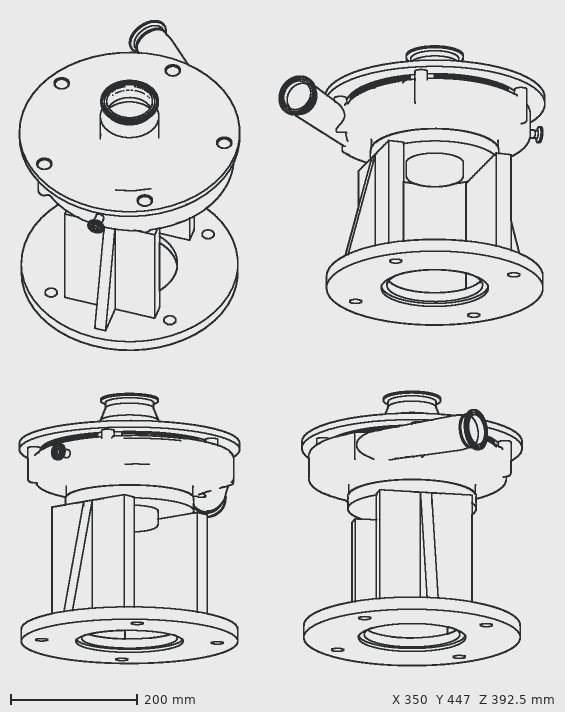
import cadquery as cq
import math


total_height = 392.5
base_thickness = 20.0
ring_bottom = 211.5
ring_top = 232.5
casing_bottom = 255.4
casing_top = 301.5
top_plate_top = 321.5
top_plate_thickness = 10.6
top_plate_bottom = top_plate_top - top_plate_thickness
port_height = 279.5

base_radius = 172.0
base_bore_radius = 76.0
base_recess_radius = 85.0
base_recess_depth = 5.0
base_hole_diameter = 19.0
base_hole_circle_radius = 140.0
base_hole_count = 4
base_hole_first_angle = 45.0

leg_width = 150.0
leg_thickness = 25.0
leg_outer_y = 102.5
gusset_thickness = 18.0
gusset_foot_y = 152.5

ring_radius = 102.0
neck_radius = 100.5
neck_flare = 5.0
hub_radius = 45.5
hub_bottom = 186.0
hub_fillet = 5.0

casing_radius = 157.5
casing_offset_x = 7.5
casing_offset_y = 3.5
casing_fillet = 5.5
scroll_end_angle = 45.0
scroll_middle_angle = 300.0
scroll_start_angle = 190.0
tongue_angle = 70.0
tongue_radius = 141.5

top_plate_radius = 175.0
spacer_radius = 141.0
groove_radius = 137.0
groove_bottom = 305.0
groove_top = 308.5
lobe_width = 39.0
column_count = 5
column_first_angle = 9.0
column_circle_radius = 152.0
column_radius = 10.0
column_corner_fillet = 3.0
edge_tolerance = 0.01
bolt_recess_radius = 12.0
bolt_recess_floor_radius = 10.6
bolt_recess_depth = 2.0

dish_rim_radius = 131.5
dish_lip_round = 4.0
dish_floor_round = 15.0
dish_floor_radius = 91.5
dish_wall_angle = math.radians(45.0)

suction_radius = 46.5
suction_foot_round = 19.0
suction_cone_bottom = 357.4
suction_cone_top = 378.3
suction_neck_radius = 38.2
suction_flange_radius = 45.6
suction_groove_radius = 41.7
suction_bore_radius = 36.3
suction_wall = 2.5
suction_bore_cone_top = 363.0
suction_bore_cone_bottom = 345.0

clamp_lip = 2.8
clamp_taper = 2.6
clamp_groove_half_width = 1.6
clamp_groove_depth = 1.5

discharge_angle = 135.0
discharge_axis_distance = 139.7
discharge_end = 210.5
discharge_flange_radius = 32.0
discharge_neck_radius = 26.3
discharge_neck_length = 19.0
discharge_swell_length = 15.0
discharge_swell_radius = 28.0
discharge_root_radius = 24.0
discharge_groove_radius = 28.8
discharge_bore_radius = 23.9
discharge_bore_depth = 12.3
discharge_bead_start = 13.0
discharge_bead_width = 2.4
discharge_bead_height = 0.7

drain_end = 176.7
drain_root = 140.0
drain_tube_radius = 6.5
drain_flange_radius = 12.7
drain_bore_radius = 5.3
drain_bore_depth = 10.0
drain_groove_radius = 9.6
drain_groove_half_width = 1.0


def cylinder(radius, bottom, top, x=0.0, y=0.0):
    """Upright cylinder between two heights."""
    return cq.Workplane("XY", origin=(x, y, bottom)).circle(radius).extrude(top - bottom)


def tube_ring(outer, inner, bottom, top):
    """Upright ring between two heights."""
    return cq.Workplane("XY", origin=(0, 0, bottom)).circle(outer).circle(inner).extrude(top - bottom)


def revolve_about_z(profile):
    """Turn a closed radius-height profile, drawn on XZ, about the Z axis."""
    return profile.close().revolve(360, (0, 0, 0), (0, 1, 0))


def polar(radius, degrees):
    """X and Y of a point given by radius and angle."""
    angle = math.radians(degrees)
    return radius * math.cos(angle), radius * math.sin(angle)


def column_angles():
    return [column_first_angle + index * 360.0 / column_count for index in range(column_count)]


def clamp_groove(mean_radius, half_width, face):
    """Gasket groove in a clamp flange whose face is at the given height."""
    return tube_ring(mean_radius + half_width, mean_radius - half_width, face - clamp_groove_depth, face)


def make_base():
    """Base plate with a central bore, a wider recess under it and mounting holes."""
    plate = tube_ring(base_radius, base_bore_radius, 0, base_thickness)
    plate = plate.cut(cylinder(base_recess_radius, 0, base_recess_depth))
    holes = (
        cq.Workplane("XY")
        .polarArray(base_hole_circle_radius, base_hole_first_angle, 360, base_hole_count)
        .circle(base_hole_diameter / 2)
        .extrude(base_thickness)
    )
    return plate.cut(holes)


def make_leg():
    """Leg on the +Y side with its outer gusset."""
    leg = (
        cq.Workplane("XY", origin=(0, leg_outer_y - leg_thickness / 2, base_thickness))
        .rect(leg_width, leg_thickness)
        .extrude(ring_bottom - base_thickness)
    )
    gusset = (
        cq.Workplane("YZ")
        .moveTo(leg_outer_y, base_thickness)
        .lineTo(gusset_foot_y, base_thickness)
        .lineTo(leg_outer_y, ring_bottom)
        .close()
        .extrude(gusset_thickness / 2, both=True)
    )
    return leg.union(gusset)


def make_bearing_housing():
    """Support ring with the hub under it and the flared neck above it."""
    hub = cylinder(hub_radius, hub_bottom, ring_top).faces("<Z").edges().fillet(hub_fillet)
    ring = cylinder(ring_radius, ring_bottom, ring_top)
    flare_arc = neck_flare * (1 - math.sqrt(0.5))
    neck = revolve_about_z(
        cq.Workplane("XZ")
        .moveTo(0, ring_top)
        .lineTo(neck_radius, ring_top)
        .lineTo(neck_radius, casing_bottom - neck_flare)
        .threePointArc(
            (neck_radius + flare_arc, casing_bottom - flare_arc),
            (neck_radius + neck_flare, casing_bottom),
        )
        .lineTo(0, casing_bottom)
    )
    return ring.union(hub).union(neck)


def casing_point(angle):
    """Point on the main casing arc, at an angle about that arc's own centre."""
    x, y = polar(casing_radius, angle)
    return casing_offset_x + x, casing_offset_y + y


def column_centers():
    return [polar(column_circle_radius, angle) for angle in column_angles()]


def casing_column(angle):
    """Bolt column over the casing height; its seam faces the axis, inside the casing."""
    column = cylinder(column_radius, casing_bottom, casing_top, -column_circle_radius, 0)
    return column.rotate((0, 0, 0), (0, 0, 1), angle - 180)


def is_column_corner(edge):
    """True for an upright edge where a column side runs into the casing wall."""
    middle = edge.Center()
    distances = [math.hypot(middle.x - x, middle.y - y) for x, y in column_centers()]
    inner_seam_radius = column_circle_radius - column_radius
    on_seam = math.hypot(middle.x, middle.y) < inner_seam_radius + edge_tolerance
    return min(distances) < column_radius + edge_tolerance and not on_seam


def make_casing():
    """Scroll-shaped drum and the bolt columns on its wall, with rounded edges."""
    casing = (
        cq.Workplane("XY", origin=(0, 0, casing_bottom))
        .moveTo(*casing_point(scroll_end_angle))
        .threePointArc(casing_point(scroll_middle_angle), casing_point(scroll_start_angle))
        .tangentArcPoint(polar(tongue_radius, tongue_angle), relative=False)
        .close()
        .extrude(casing_top - casing_bottom)
    )
    for angle in column_angles():
        casing = casing.union(casing_column(angle))
    corners = [edge for edge in casing.edges("|Z").vals() if is_column_corner(edge)]
    casing = casing.newObject(corners).fillet(column_corner_fillet)
    return casing.faces("<Z or >Z").edges().fillet(casing_fillet)


def make_lobe(angle):
    """Block that fills the spacer groove beside a bolt column."""
    block = (
        cq.Workplane("XY", origin=(0, 0, groove_bottom))
        .center(column_circle_radius / 2, 0)
        .rect(column_circle_radius, lobe_width)
        .extrude(groove_top - groove_bottom)
        .rotate((0, 0, 0), (0, 0, 1), angle)
    )
    return block.intersect(cylinder(spacer_radius, groove_bottom, groove_top))


def make_top_plate():
    """Top plate, grooved spacer and the upper ends of the bolt columns."""
    spacer = cylinder(spacer_radius, casing_top, top_plate_bottom)
    groove = tube_ring(spacer_radius, groove_radius, groove_bottom, groove_top)
    for angle in column_angles():
        groove = groove.cut(make_lobe(angle))
    plate = cylinder(top_plate_radius, top_plate_bottom, top_plate_top).union(spacer.cut(groove))
    for x, y in column_centers():
        plate = plate.union(cylinder(column_radius, port_height, top_plate_bottom, x, y))
    return plate


def make_bolt_recess(angle):
    """Shallow recess in the top plate that narrows towards its floor."""
    x, y = polar(column_circle_radius, angle)
    return (
        cq.Workplane("XY", origin=(x, y, top_plate_top))
        .circle(bolt_recess_radius)
        .workplane(offset=-bolt_recess_depth)
        .circle(bolt_recess_floor_radius)
        .loft()
    )


round_run = math.sin(dish_wall_angle)
round_rise = 1 - math.cos(dish_wall_angle)
wall_top_radius = dish_rim_radius - dish_lip_round * round_run
wall_bottom_radius = dish_floor_radius + dish_floor_round * round_run
wall_top = top_plate_top - dish_lip_round * round_rise
wall_bottom = wall_top - (wall_top_radius - wall_bottom_radius) * math.tan(dish_wall_angle)
dish_floor = wall_bottom - dish_floor_round * round_rise
suction_foot_top = dish_floor + suction_foot_round


def make_dish():
    """Space removed around the suction pipe, down to the dish floor."""
    half_run = math.sin(dish_wall_angle / 2)
    half_rise = 1 - math.cos(dish_wall_angle / 2)
    foot_arc = suction_foot_round * (1 - math.sqrt(0.5))
    return revolve_about_z(
        cq.Workplane("XZ")
        .moveTo(suction_radius, top_plate_top)
        .lineTo(suction_radius, suction_foot_top)
        .threePointArc(
            (suction_radius + foot_arc, dish_floor + foot_arc),
            (suction_radius + suction_foot_round, dish_floor),
        )
        .lineTo(dish_floor_radius, dish_floor)
        .threePointArc(
            (dish_floor_radius + dish_floor_round * half_run, dish_floor + dish_floor_round * half_rise),
            (wall_bottom_radius, wall_bottom),
        )
        .lineTo(wall_top_radius, wall_top)
        .threePointArc(
            (dish_rim_radius - dish_lip_round * half_run, top_plate_top - dish_lip_round * half_rise),
            (dish_rim_radius, top_plate_top),
        )
    )


def make_suction_pipe():
    """Suction pipe that narrows to a clamp flange at the top."""
    pipe = revolve_about_z(
        cq.Workplane("XZ")
        .moveTo(0, suction_foot_top)
        .lineTo(suction_radius, suction_foot_top)
        .lineTo(suction_radius, suction_cone_bottom)
        .lineTo(suction_neck_radius, suction_cone_top)
        .lineTo(suction_neck_radius, total_height - clamp_lip - clamp_taper)
        .lineTo(suction_flange_radius, total_height - clamp_lip)
        .lineTo(suction_flange_radius, total_height)
        .lineTo(0, total_height)
    )
    return pipe.cut(clamp_groove(suction_groove_radius, clamp_groove_half_width, total_height))


def make_suction_bore():
    """Space inside the suction pipe, down to the top of its foot round."""
    wide_radius = suction_radius - suction_wall
    return revolve_about_z(
        cq.Workplane("XZ")
        .moveTo(0, suction_foot_top)
        .lineTo(wide_radius, suction_foot_top)
        .lineTo(wide_radius, suction_bore_cone_bottom)
        .lineTo(suction_bore_radius, suction_bore_cone_top)
        .lineTo(suction_bore_radius, total_height)
        .lineTo(0, total_height)
    )


def place_discharge(port):
    """Lay a port built along +Z into the discharge direction, tangent to the casing."""
    x, y = polar(discharge_axis_distance, discharge_angle - 90)
    return (
        port.rotate((0, 0, 0), (0, 1, 0), 90)
        .rotate((0, 0, 0), (0, 0, 1), discharge_angle)
        .translate((x, y, port_height))
    )


def make_discharge():
    """Tapered discharge pipe with a narrower neck, a weld bead and a clamp flange."""
    neck_start = discharge_end - discharge_neck_length
    swell_start = neck_start - discharge_swell_length
    swell_middle = (
        (discharge_neck_radius + discharge_swell_radius) / 2,
        (neck_start + swell_start) / 2,
    )
    bead_top = discharge_end - discharge_bead_start
    port = revolve_about_z(
        cq.Workplane("XZ")
        .lineTo(discharge_root_radius, 0)
        .lineTo(discharge_swell_radius, swell_start)
        .tangentArcPoint(swell_middle, relative=False)
        .tangentArcPoint((discharge_neck_radius, neck_start), relative=False)
        .lineTo(discharge_neck_radius, discharge_end - clamp_lip - clamp_taper)
        .lineTo(discharge_flange_radius, discharge_end - clamp_lip)
        .lineTo(discharge_flange_radius, discharge_end)
        .lineTo(0, discharge_end)
    )
    bead = cylinder(discharge_neck_radius + discharge_bead_height, bead_top - discharge_bead_width, bead_top)
    port = port.union(bead)
    port = port.cut(clamp_groove(discharge_groove_radius, clamp_groove_half_width, discharge_end))
    port = port.cut(cylinder(discharge_bore_radius, discharge_end - discharge_bore_depth, discharge_end))
    return place_discharge(port)


def make_drain():
    """Small drain pipe with a clamp flange."""
    port = revolve_about_z(
        cq.Workplane("XZ")
        .moveTo(0, drain_root)
        .lineTo(drain_tube_radius, drain_root)
        .lineTo(drain_tube_radius, drain_end - clamp_lip - clamp_taper)
        .lineTo(drain_flange_radius, drain_end - clamp_lip)
        .lineTo(drain_flange_radius, drain_end)
        .lineTo(0, drain_end)
    )
    port = port.cut(clamp_groove(drain_groove_radius, drain_groove_half_width, drain_end))
    port = port.cut(cylinder(drain_bore_radius, drain_end - drain_bore_depth, drain_end))
    return port.rotate((0, 0, 0), (1, 0, 0), 90).translate((0, 0, port_height))


leg = make_leg()
result = make_base().union(leg).union(leg.mirror("XZ"))
result = result.union(make_bearing_housing()).union(make_casing()).union(make_top_plate())
result = result.union(make_discharge()).union(make_drain())
result = result.cut(make_dish()).union(make_suction_pipe()).cut(make_suction_bore())
for bolt_angle in column_angles():
    result = result.cut(make_bolt_recess(bolt_angle))